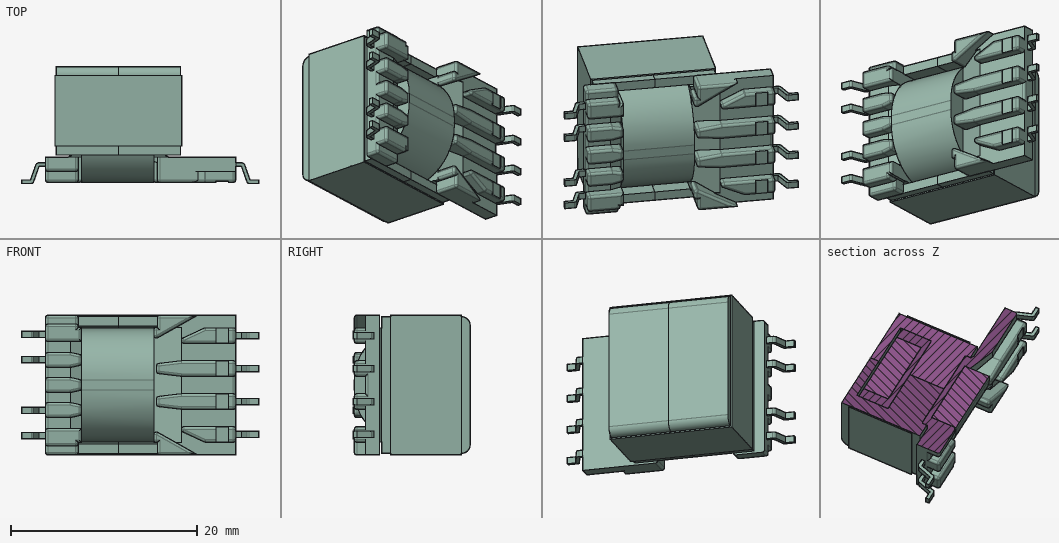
import cadquery as cq
import math


wind_flat = 1.06
coil_radius = 5.61
coil_left = -3.95
coil_right = 3.80

core_half_x = 6.68
core_half_z = 7.35
core_back = 6.85
core_front = -2.67
core_back_radius = 0.95
cavity_clearance = 0.20
cavity_half_x = 5.0
post_radius = 2.1
cavity_radius = coil_radius + cavity_clearance

tape_thickness = 0.15
tape_back = core_back - core_back_radius
tape_front = -1.70

plate_left = -7.83
plate_right = 12.61
plate_half_z = 7.505
plate_back = -2.88
plate_floor = -4.42
rib_front = -coil_radius
edge_radius = 0.28
rib_root = (plate_back + plate_floor) / 2
neck_half_z = wind_flat / 2 + coil_radius
neck_flare = 0.40
left_step_x = -4.30
right_step_x = 4.18
step_z = 6.18
slope_angle = 20
left_slope_x = -5.15
right_slope_x = 6.77
tube_radius = 2.6

left_pitch = 2.69
left_rib_width = 1.62
left_tip_width = 1.10
outer_rib_low_z = 4.66
outer_rib_high_z = 6.55

right_pitch = 3.54
right_rib_width = 1.68
right_tip_width = 1.05
right_tip_x = 4.10
side_rib_bend_x = 9.30
side_rib_tip = 0.50
corner_tip_x = 8.53
corner_low_z = 5.05
corner_tongue_overlap = 0.90
notch_start = 10.48
notch_end = 11.80
notch_depth = 0.12

pin_width = 0.70
pin_thickness = 0.40
pin_foot_y = -5.72
pin_shoulder_y = -3.48
pin_left_end = -10.40
pin_right_end = 15.10
pin_foot_length = 1.24
pin_slant_run = 0.65
pin_embed = 0.60
pin_shoulder_radius = 0.40
pin_heel_radius = 0.24
left_pin_pitch = 2.72


def y_prism(outline, y_back, y_front):
    """Extrude an (X, Z) outline from y_back towards -Y, down to y_front."""
    plane = cq.Workplane("XZ", origin=(0, y_back, 0))
    return plane.polyline(outline).close().extrude(y_back - y_front)


def z_prism(profile, half_z):
    """Extrude an (X, Y) profile symmetrically along Z."""
    return cq.Workplane("XY").polyline(profile).close().extrude(half_z, both=True)


def rounded_block(outline, y_back, y_front):
    """Y prism with rounded side corners and a rounded front edge."""
    block = y_prism(outline, y_back, y_front)
    return block.edges("|Y").fillet(edge_radius).faces("<Y").edges().fillet(edge_radius)


def obround(radius, x_start, x_end):
    """Bar of obround section along X."""
    plane = cq.Workplane("YZ", origin=(x_start, 0, 0))
    return plane.slot2D(wind_flat + 2 * radius, 2 * radius, 90).extrude(x_end - x_start)


def open_arch(radius, y_front, x_start, x_end):
    """Bar along X, obround on the back and straight-sided down to y_front."""
    half_z = wind_flat / 2 + radius
    size_x = x_end - x_start
    legs = cq.Workplane("XY").box(size_x, -y_front, 2 * half_z, centered=(False, False, True))
    back = cq.Workplane("XY").box(size_x, radius, 2 * half_z, centered=(False, False, True))
    arch = obround(radius, x_start, x_end).intersect(back.translate((x_start, 0, 0)))
    return arch.union(legs.translate((x_start, y_front, 0)))


def core_half():
    size_y = core_back - core_front
    body = cq.Workplane("XY").box(core_half_x, size_y, 2 * core_half_z, centered=(False, False, True))
    body = body.translate((0, core_front, 0)).edges("|X and >Y").fillet(core_back_radius)
    body = body.cut(open_arch(cavity_radius, core_front, 0, cavity_half_x))
    return body.union(obround(post_radius, 0, cavity_half_x))


core_halves = [core_half(), core_half().mirror("YZ")]


def tape_band():
    size_x = 2 * (core_half_x + tape_thickness)
    size_z = 2 * plate_half_z
    band = cq.Workplane("XZ", origin=(0, tape_back, 0)).rect(size_x, size_z)
    return band.rect(2 * core_half_x, 2 * core_half_z).extrude(tape_back - tape_front)


tape = tape_band()

winding = obround(coil_radius, coil_left, coil_right).cut(obround(tube_radius, coil_left, coil_right))


def spool():
    """Tube and flanges inside the core, with the necks that carry the plates."""
    body = obround(tube_radius, coil_left, coil_right)
    body = body.union(open_arch(coil_radius, core_front, -cavity_half_x, coil_left))
    body = body.union(open_arch(coil_radius, core_front, coil_right, cavity_half_x))
    for side, coil_end in ((-1, coil_left), (1, coil_right)):
        neck = [
            (coil_end, core_front),
            (side * cavity_half_x, core_front),
            (side * (cavity_half_x + neck_flare), plate_back),
            (coil_end, plate_back),
        ]
        body = body.union(z_prism(neck, neck_half_z))
    return body.cut(obround(post_radius, -cavity_half_x, cavity_half_x))


def slope_cut(slope_x, coil_end):
    """Wedge that thins the plate front towards the winding."""
    rise = abs(slope_x - coil_end) * math.tan(math.radians(slope_angle))
    wedge = [
        (slope_x, plate_floor),
        (coil_end, plate_floor + rise),
        (coil_end, rib_front),
        (slope_x, rib_front),
    ]
    return z_prism(wedge, step_z)


def tapered_rib(end_x, bend_x, tip_x, width, tip_width, z):
    """Rib along X that narrows towards the winding."""
    outline = [
        (end_x, z + width / 2),
        (bend_x, z + width / 2),
        (tip_x, z + tip_width / 2),
        (tip_x, z - tip_width / 2),
        (bend_x, z - width / 2),
        (end_x, z - width / 2),
    ]
    return rounded_block(outline, rib_root, rib_front)


def left_block(x_end, z_low, z_high, y_back, y_front):
    """Block from the outer plate edge to x_end, with all side corners rounded."""
    outline = [(plate_left, z_low), (x_end, z_low), (x_end, z_high), (plate_left, z_high)]
    return rounded_block(outline, y_back, y_front)


def left_tongue(z_low, z_high, y_back, y_front):
    """Block that reaches the winding, with sharp side corners there."""
    outline = [(plate_left, z_low), (coil_left, z_low), (coil_left, z_high), (plate_left, z_high)]
    block = y_prism(outline, y_back, y_front).edges("|Y and <X").fillet(edge_radius)
    return block.faces("<Y").edges().fillet(edge_radius)


def left_plate():
    body = left_block(left_step_x, -plate_half_z, plate_half_z, plate_back, plate_floor)
    body = body.union(left_tongue(-step_z, step_z, plate_back, plate_floor))
    body = body.cut(slope_cut(left_slope_x, coil_left))
    for row in (-1, 0, 1):
        z = row * left_pitch
        rib = tapered_rib(plate_left, left_slope_x, coil_left, left_rib_width, left_tip_width, z)
        body = body.union(rib)
    outer_rib = left_block(left_step_x, outer_rib_low_z, outer_rib_high_z, rib_root, rib_front)
    outer_rib = outer_rib.union(left_tongue(outer_rib_low_z, step_z, rib_root, rib_front))
    return body.union(outer_rib).union(outer_rib.mirror("XY"))


def corner_post():
    """Triangular post beside the core leg, with a tongue reaching to the winding."""
    slant = (plate_half_z - corner_low_z) / (corner_tip_x - right_step_x)
    triangle = [
        (right_step_x, plate_half_z),
        (right_step_x, corner_low_z),
        (corner_tip_x, plate_half_z),
    ]
    post = y_prism(triangle, plate_back, rib_front).edges("|Y and <X").fillet(edge_radius)
    post = post.faces("<Y").edges().fillet(edge_radius)
    tongue_x = right_step_x + corner_tongue_overlap
    tongue = [
        (coil_right, step_z),
        (coil_right, corner_low_z),
        (right_step_x, corner_low_z),
        (tongue_x, corner_low_z + slant * corner_tongue_overlap),
        (tongue_x, step_z),
    ]
    return post.union(rounded_block(tongue, plate_back, rib_front))


def right_plate():
    outline = [
        (plate_right, plate_half_z),
        (right_step_x, plate_half_z),
        (right_step_x, step_z),
        (coil_right, step_z),
        (coil_right, -step_z),
        (right_step_x, -step_z),
        (right_step_x, -plate_half_z),
        (plate_right, -plate_half_z),
    ]
    body = y_prism(outline, plate_back, plate_floor)
    for corner_z in (-plate_half_z, plate_half_z):
        step_edge = cq.selectors.NearestToPointSelector((right_step_x, rib_root, corner_z))
        body = body.edges(step_edge).fillet(edge_radius)
    body = body.cut(slope_cut(right_slope_x, coil_right))
    for side in (-1, 1):
        z = side * right_pitch / 2
        rib = tapered_rib(plate_right, right_slope_x, right_tip_x, right_rib_width, right_tip_width, z)
        body = body.union(rib)
    side_low = 1.5 * right_pitch - right_rib_width / 2
    side_high = side_low + right_rib_width
    side_rib = [
        (plate_right, side_high),
        (side_rib_bend_x, side_high),
        (right_slope_x, side_low + side_rib_tip),
        (right_slope_x, side_low),
        (plate_right, side_low),
    ]
    corner = rounded_block(side_rib, rib_root, rib_front).union(corner_post())
    body = body.union(corner).union(corner.mirror("XY"))
    middle_edge = cq.selectors.NearestToPointSelector((plate_right, plate_floor, 0))
    body = body.edges(middle_edge).fillet(edge_radius)
    notch_size = (notch_end - notch_start, notch_depth, 2 * side_high)
    notch = cq.Workplane("XY").box(*notch_size, centered=(False, False, True))
    return body.cut(notch.translate((notch_start, rib_front, 0)))


def pin(end_x, plate_x, z):
    """Gull-wing pin from inside the plate at plate_x out to its foot at end_x."""
    out = math.copysign(1, end_x - plate_x)
    inner = plate_x - out * pin_embed
    foot = end_x - out * pin_foot_length
    shoulder = foot - out * pin_slant_run
    slant = math.atan2(pin_shoulder_y - pin_foot_y - pin_thickness, pin_slant_run)
    shift = out * pin_thickness * math.tan(slant / 2)
    profile = [
        (inner, pin_shoulder_y),
        (shoulder + shift, pin_shoulder_y),
        (foot + shift, pin_foot_y + pin_thickness),
        (end_x, pin_foot_y + pin_thickness),
        (end_x, pin_foot_y),
        (foot, pin_foot_y),
        (shoulder, pin_shoulder_y - pin_thickness),
        (inner, pin_shoulder_y - pin_thickness),
    ]
    strip = z_prism(profile, pin_width / 2)
    outer_shoulder = cq.selectors.NearestToPointSelector((shoulder + shift, pin_shoulder_y, 0))
    strip = strip.edges(outer_shoulder).fillet(pin_shoulder_radius)
    heel = cq.selectors.NearestToPointSelector((foot, pin_foot_y, 0))
    return strip.edges(heel).fillet(pin_heel_radius).translate((0, 0, z))


bobbin = spool().union(left_plate()).union(right_plate())
for side in (-1, 1):
    for row in (1, 2):
        bobbin = bobbin.union(pin(pin_left_end, plate_left, side * row * left_pin_pitch))
    for row in (0.5, 1.5):
        bobbin = bobbin.union(pin(pin_right_end, plate_right, side * row * right_pitch))

result = cq.Compound.makeCompound(
    [half.val() for half in core_halves] + [tape.val(), winding.val(), bobbin.val()]
)